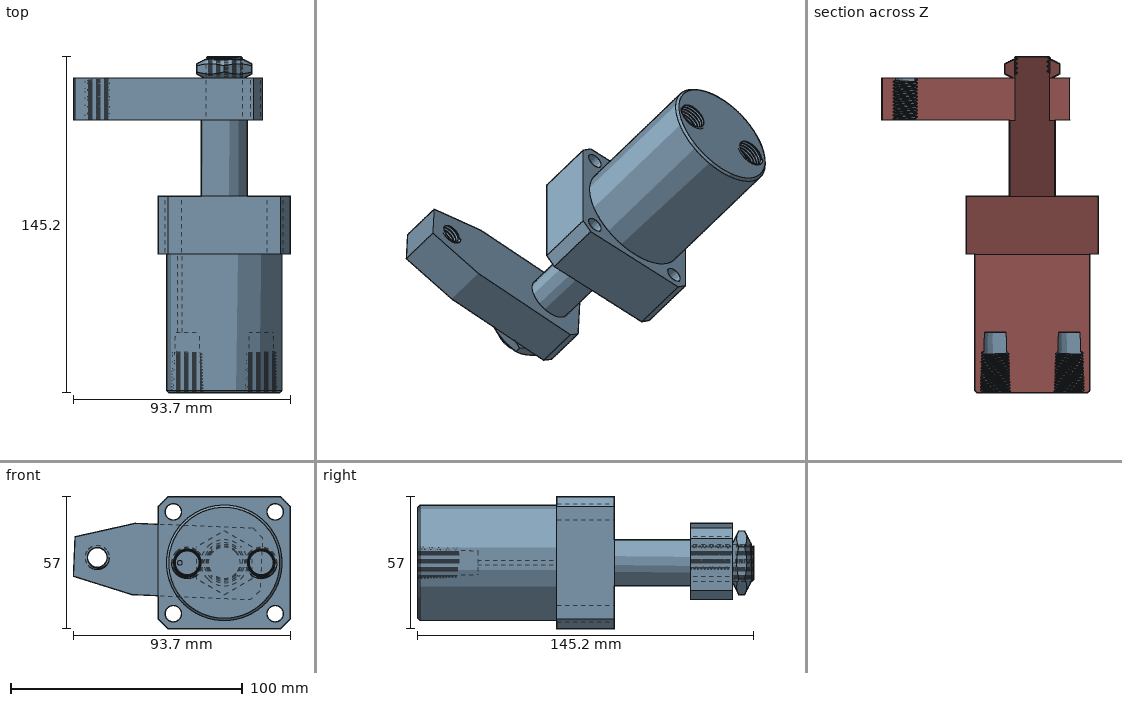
import cadquery as cq
import math


barrel_diameter = 50.0
barrel_length = 60.0
barrel_chamfer = 1.0

port_offset = 16.0
port_depth = 26.1
port_minor_radius = 6.0
port_thread_height = 0.9
port_thread_pitch = 1.34
port_thread_turns = 13
port_taper = 1 / 16
port_half_taper = math.degrees(math.atan(port_taper / 2))
passage_diameter = 2.0
passage_shift = 3.2
passage_offset = port_offset + passage_shift

flange_side = 57.0
flange_thickness = 25.0
flange_chamfer = 4.2
flange_hole_diameter = 7.0
flange_hole_spacing = 44.0

arm_thickness = 18.3
arm_width = 31.0
arm_tip_width = 17.1
arm_reach = 64.9
arm_back = 16.1
arm_back_chamfer = 4.2
arm_taper_angle = 15.0
arm_turn = 2.4
arm_hole_offset = 54.9
arm_hole_minor_radius = 4.2
arm_thread_height = 1.0
arm_thread_pitch = 1.5
arm_thread_turns = 12

rod_diameter = 20.0
rod_exposed_length = 32.8
stud_diameter = 16.0
stud_tip_chamfer = 0.7
stud_thread_height = 1.2
stud_thread_pitch = 2.0
stud_thread_turns = 4

nut_across_flats = 24.0
nut_height = 8.1
nut_seat_radius = 8.7
nut_cone_angle = 27.0
nut_sides = 6

overall_length = 145.2
flange_start = barrel_length
rod_start = flange_start + flange_thickness
arm_start = rod_start + rod_exposed_length
nut_start = arm_start + arm_thickness

groove_mouth_share = 0.9
groove_root_share = 0.1
groove_overlap = 0.1
straight_helix = 360


def cylinder(radius, start, length):
    """A solid cylinder on the Y axis, from y = start towards +Y."""
    return cq.Workplane("XZ", origin=(0, start, 0)).circle(radius).extrude(-length)


def thread_groove(wall_radius, height, pitch, turns, half_taper=straight_helix):
    """Helical groove along +Y from y = 0, starting at +X; a negative height cuts inwards."""
    taper_slope = math.tan(math.radians(half_taper))
    length = pitch * turns
    small_radius = wall_radius - length * taper_slope
    path = cq.Wire.makeHelix(pitch, length, small_radius, angle=half_taper)
    overlap = math.copysign(groove_overlap, height)
    half_mouth = groove_mouth_share * pitch / 2
    half_root = groove_root_share * pitch / 2
    profile = cq.Workplane("XZ").polyline([
        (small_radius - overlap, -half_mouth),
        (small_radius + height, -half_root),
        (small_radius + height, half_root),
        (small_radius - overlap, half_mouth),
    ]).close()
    groove = profile.sweep(cq.Workplane(path), isFrenet=True)
    return groove.rotate((0, 0, 0), (1, 0, 0), 90).translate((0, length, 0))


def make_port():
    """The tapered bore and the thread groove of a port on the Y axis, open at y = 0."""
    bottom_radius = port_minor_radius - port_depth * port_taper / 2
    bore = (
        cq.Workplane("XY")
        .polyline([(0, 0), (port_minor_radius, 0), (bottom_radius, port_depth), (0, port_depth)])
        .close()
        .revolve(360, (0, 0, 0), (0, 1, 0))
    )
    groove = thread_groove(
        port_minor_radius, port_thread_height, port_thread_pitch, port_thread_turns, port_half_taper
    )
    return bore, groove


def make_barrel():
    barrel = cylinder(barrel_diameter / 2, 0, barrel_length).faces("<Y").chamfer(barrel_chamfer)
    port_bore, port_groove = make_port()
    for _ in range(2):
        barrel = barrel.mirror("YZ")
        for cutter in (port_groove, port_bore):
            barrel = barrel.cut(cutter.translate((port_offset, 0, 0)))
    passage = cylinder(passage_diameter / 2, port_depth, barrel_length - port_depth)
    return barrel.cut(passage.translate((-passage_offset, 0, 0)))


def make_flange():
    return (
        cq.Workplane("XZ", origin=(0, flange_start, 0))
        .rect(flange_side, flange_side)
        .extrude(-flange_thickness)
        .edges("|Y")
        .chamfer(flange_chamfer)
        .faces("<Y")
        .workplane(origin=(0, flange_start, 0))
        .rect(flange_hole_spacing, flange_hole_spacing, forConstruction=True)
        .vertices()
        .hole(flange_hole_diameter)
    )


def make_rod():
    stud_length = overall_length - arm_start
    rod = cylinder(rod_diameter / 2, rod_start, rod_exposed_length)
    stud = cylinder(stud_diameter / 2, arm_start, stud_length).faces(">Y").chamfer(stud_tip_chamfer)
    groove = thread_groove(stud_diameter / 2, -stud_thread_height, stud_thread_pitch, stud_thread_turns)
    groove_start = overall_length - stud_thread_pitch * stud_thread_turns
    return rod.union(stud.cut(groove.translate((0, groove_start, 0))))


def make_arm():
    half_width = arm_width / 2
    half_tip = arm_tip_width / 2
    knee_x = (half_width - half_tip) / math.tan(math.radians(arm_taper_angle)) - arm_reach
    upper_outline = [
        (-arm_reach, half_tip),
        (knee_x, half_width),
        (arm_back - arm_back_chamfer, half_width),
        (arm_back, half_width - arm_back_chamfer),
    ]
    lower_outline = [(x, -z) for x, z in reversed(upper_outline)]
    arm = cq.Workplane("XZ").polyline(upper_outline + lower_outline).close().extrude(-arm_thickness)
    arm = arm.cut(cylinder(stud_diameter / 2, 0, arm_thickness))
    tip_hole = cylinder(arm_hole_minor_radius, 0, arm_thickness)
    groove = thread_groove(arm_hole_minor_radius, arm_thread_height, arm_thread_pitch, arm_thread_turns)
    for cutter in (groove, tip_hole):
        arm = arm.cut(cutter.translate((-arm_hole_offset, 0, 0)))
    return arm.rotate((0, 0, 0), (0, 1, 0), arm_turn).translate((0, arm_start, 0))


def make_nut():
    """Hexagon nut with a corner at +Z, coned at both ends."""
    corner_diameter = nut_across_flats / math.cos(math.pi / nut_sides)
    hexagon = (
        cq.Workplane("XZ")
        .polygon(nut_sides, corner_diameter)
        .extrude(-nut_height)
        .rotate((0, 0, 0), (0, 1, 0), 90)
    )
    corner_radius = corner_diameter / 2
    cone_slope = math.tan(math.radians(nut_cone_angle))
    seat_cone_height = (corner_radius - nut_seat_radius) * cone_slope
    top_cone_height = (corner_radius - stud_diameter / 2) * cone_slope
    envelope = (
        cq.Workplane("XY")
        .polyline([
            (0, 0),
            (nut_seat_radius, 0),
            (corner_radius, seat_cone_height),
            (corner_radius, nut_height - top_cone_height),
            (stud_diameter / 2, nut_height),
            (0, nut_height),
        ])
        .close()
        .revolve(360, (0, 0, 0), (0, 1, 0))
    )
    bore = cylinder(stud_diameter / 2, 0, nut_height)
    return hexagon.intersect(envelope).cut(bore).translate((0, nut_start, 0))


barrel = make_barrel()
flange = make_flange()
rod = make_rod()
arm = make_arm()
nut = make_nut()

result = cq.Compound.makeCompound([barrel.val(), flange.val(), rod.val(), arm.val(), nut.val()])